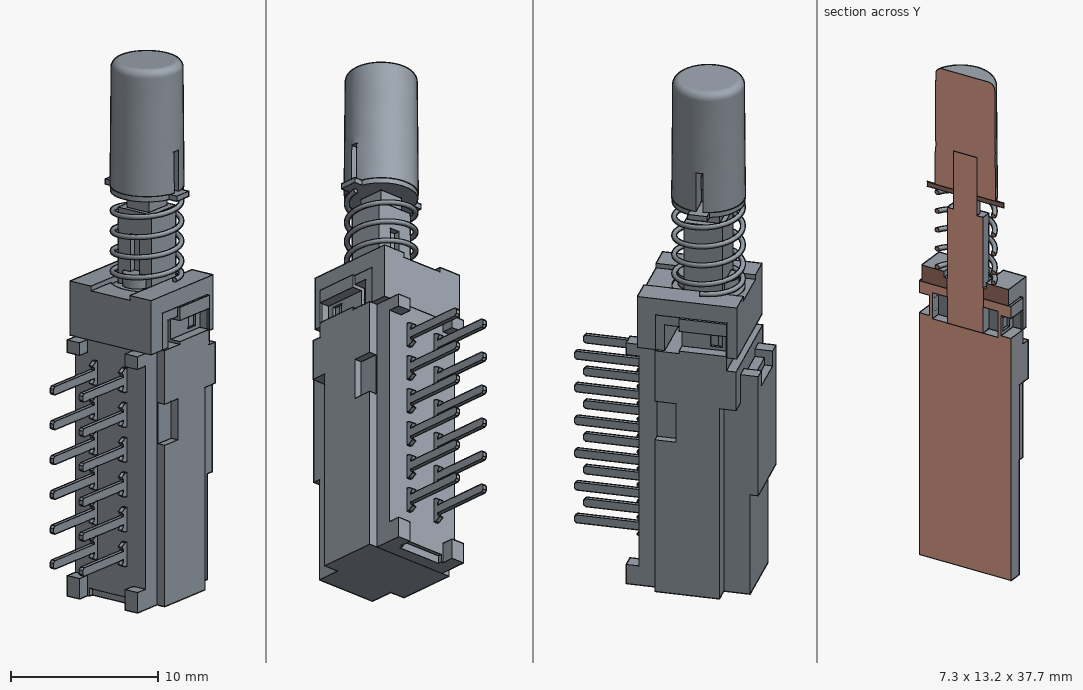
import cadquery as cq
import math


frame_bottom = 18.35
window_top = 21.0
frame_top = 22.25
channel_floor = 21.9
washer_bottom = 28.35
cap_bottom = 28.73
overall_height = 37.7

base_back = -2.83
base_front = -4.1
window_back = 2.2
shoulder_back = 2.85

housing_width = 7.3
side_wall_back = 1.7
shoulder_bottom = 14.5
shoulder_top = 17.45
cover_width = 4.9
cover_back = 3.55
cover_pad_back = 4.1
cover_pad_bottom = 7.58
cover_top = 16.65
cover_notch_width = 3.0
cover_notch_height = 0.55
pad_notch_height = 1.13
grip_notch_bottom = 11.57
grip_notch_length = 1.47
grip_notch_depth = 0.55
cheek_front = -1.13
cheek_pocket_bottom = 18.55
cheek_pocket_top = 20.05
cheek_pocket_depth = 0.8
cheek_pocket_back = 2.15
latch_hole_y = 1.3
latch_hole_z = 19.3
latch_hole_width = 0.83
latch_hole_height = 1.0
latch_hole_depth = 0.2
cross_slot_front = -2.2
cross_slot_top = 20.32
cavity_width = 5.2

base_width = 6.0
foot_front = -5.0
foot_width = 1.05
upper_foot_height = 0.9
lower_foot_height = 1.47
base_notch_width = 3.55
base_notch_height = 0.55
base_notch_depth = 0.3
terminals_per_row = 6
first_terminal_z = 3.65
last_terminal_z = 16.15
row_spacing = 2.5
terminal_thickness = 0.3
terminal_half_height = 0.3
terminal_tip = -9.05
terminal_tip_chamfer = 0.15
root_half_height = 0.85
root_shoulder_y = -4.3
root_barb_y = -4.67
root_barb_half_height = 0.65
root_valley_y = -4.45
root_valley_half_height = 0.4

frame_width = 6.95
channel_width = 3.3
seat_radius = 2.5
seat_depth = 0.1

plunger_width = 2.85
plunger_depth = 2.7
plunger_shoulder = 27.22
neck_width = 1.9
neck_depth = 2.05
neck_top = 31.65
barb_bottom = 29.75
barb_top = 30.73
barb_reach = 0.23
plunger_slot_width = 0.8
plunger_slot_top = 25.52
plunger_slot_depth = 0.45
boss_radius = 0.98
boss_reach = 2.1
boss_top = 22.8

wire_radius = 0.17
coil_radius = 2.35
coil_turns = 4

washer_radius = 2.5
ear_span = 6.1
ear_width = 1.35

cap_bottom_radius = 2.53
cap_top_radius = 2.45
cap_edge_fillet = 0.53
cap_slit_width = 0.5

sides = (-1, 1)


def block(x_range, y_range, z_range):
    """Box between the given limits on each axis."""
    (x0, x1), (y0, y1), (z0, z1) = x_range, y_range, z_range
    return cq.Workplane("XY").box(x1 - x0, y1 - y0, z1 - z0, centered=False).translate((x0, y0, z0))


def centred_block(width, y_range, z_range):
    """Box centred on X = 0."""
    return block((-width / 2, width / 2), y_range, z_range)


def side_block(side, inner, outer, y_range, z_range):
    """Box on the -X or +X side, between two distances from the YZ plane."""
    return block(sorted((side * inner, side * outer)), y_range, z_range)


def plunger_body(z_range):
    """Rectangular plunger section, also used as the cutter for its guide holes."""
    return centred_block(plunger_width, (-plunger_depth / 2, plunger_depth / 2), z_range)


def make_housing():
    half_width = housing_width / 2
    half_frame = frame_width / 2

    body = (
        cq.Workplane("YZ")
        .moveTo(base_back, 0)
        .lineTo(side_wall_back, 0)
        .lineTo(side_wall_back, shoulder_bottom)
        .lineTo(shoulder_back, shoulder_bottom)
        .lineTo(shoulder_back, shoulder_top)
        .lineTo(window_back, shoulder_top)
        .lineTo(window_back, frame_bottom)
        .lineTo(base_back, frame_bottom)
        .close()
        .extrude(half_width, both=True)
    )

    body = body.union(centred_block(cover_width, (side_wall_back, cover_back), (0, cover_top)))
    body = body.union(
        centred_block(cover_width, (side_wall_back, cover_pad_back), (cover_pad_bottom, cover_top))
    )
    for notch_front, notch_height in ((shoulder_back, cover_notch_height), (cover_back, pad_notch_height)):
        notch_levels = (cover_top - notch_height, cover_top)
        body = body.cut(centred_block(cover_notch_width, (notch_front, cover_pad_back), notch_levels))

    head_levels = (frame_bottom, window_top)
    body = body.union(centred_block(frame_width, (base_back, window_back), head_levels))
    body = body.union(centred_block(housing_width, (cheek_front, window_back), head_levels))
    body = body.cut(plunger_body(head_levels))

    slot_levels = (frame_bottom, cross_slot_top)
    body = body.cut(centred_block(frame_width, (cross_slot_front, cheek_front), slot_levels))
    body = body.cut(centred_block(cavity_width, (cross_slot_front, plunger_depth / 2), slot_levels))

    for side in sides:
        pocket_floor = half_width - cheek_pocket_depth
        pocket = side_block(
            side, pocket_floor, half_width,
            (cheek_front, cheek_pocket_back), (cheek_pocket_bottom, cheek_pocket_top),
        )
        latch_hole = side_block(
            side, pocket_floor - latch_hole_depth, half_frame,
            (latch_hole_y - latch_hole_width / 2, latch_hole_y + latch_hole_width / 2),
            (latch_hole_z - latch_hole_height / 2, latch_hole_z + latch_hole_height / 2),
        )
        grip_notch = side_block(
            side, half_width - grip_notch_depth, half_width,
            (base_back, base_back + grip_notch_length), (grip_notch_bottom, shoulder_bottom),
        )
        body = body.cut(pocket).cut(latch_hole).cut(grip_notch)
    return body


def make_terminal(x, z):
    """Flat solder terminal with a barbed root, pointing along -Y."""
    upper_half = [
        (base_front, root_half_height),
        (root_shoulder_y, root_half_height),
        (root_barb_y, root_barb_half_height),
        (root_valley_y, root_valley_half_height),
        (root_valley_y, terminal_half_height),
        (terminal_tip + terminal_tip_chamfer, terminal_half_height),
        (terminal_tip, terminal_half_height - terminal_tip_chamfer),
    ]
    lower_half = [(y, -height) for y, height in reversed(upper_half)]
    outline = cq.Workplane("YZ").polyline(upper_half + lower_half).close()
    return outline.extrude(terminal_thickness / 2, both=True).translate((x, 0, z))


def make_base():
    """Terminal plate with its four feet and two rows of terminals, moulded as one."""
    half_width = base_width / 2
    body = centred_block(base_width, (base_front, base_back), (0, frame_bottom))
    body = body.cut(
        centred_block(
            base_notch_width, (base_front, base_front + base_notch_depth), (0, base_notch_height)
        )
    )
    for side in sides:
        for foot_levels in ((0, lower_foot_height), (frame_bottom - upper_foot_height, frame_bottom)):
            body = body.union(
                side_block(side, half_width - foot_width, half_width, (foot_front, base_front), foot_levels)
            )
    pitch = (last_terminal_z - first_terminal_z) / (terminals_per_row - 1)
    for side in sides:
        for index in range(terminals_per_row):
            body = body.union(make_terminal(side * row_spacing / 2, first_terminal_z + index * pitch))
    return body


def make_frame():
    body = centred_block(frame_width, (base_front, shoulder_back), (frame_bottom, frame_top))
    body = body.cut(centred_block(frame_width, (base_back, window_back), (frame_bottom, window_top)))
    channel = centred_block(channel_width, (base_front, shoulder_back), (channel_floor, frame_top))

    seat_bottom = channel_floor - seat_depth
    seat = cq.Workplane("XY").workplane(offset=seat_bottom).circle(seat_radius).extrude(seat_depth)
    seat = seat.intersect(
        centred_block(channel_width, (base_front, shoulder_back), (seat_bottom, channel_floor))
    )
    return body.cut(channel).cut(seat).cut(plunger_body((window_top, frame_top)))


def make_plunger():
    body = plunger_body((frame_bottom, plunger_shoulder))

    body = body.union(
        centred_block(neck_width, (-neck_depth / 2, neck_depth / 2), (plunger_shoulder, neck_top))
    )
    body = body.union(
        centred_block(
            neck_width + 2 * barb_reach,
            (-cap_slit_width / 2, cap_slit_width / 2),
            (barb_bottom, barb_top),
        )
    )

    front = -plunger_depth / 2
    body = body.cut(
        centred_block(plunger_slot_width, (front, front + plunger_slot_depth), (boss_top, plunger_slot_top))
    )
    for side in sides:
        boss_centre = side * (boss_reach - boss_radius)
        boss = cq.Workplane("XY").workplane(offset=channel_floor).center(0, boss_centre)
        body = body.union(boss.circle(boss_radius).extrude(boss_top - channel_floor))
    return body


def wire_section():
    """Round section of the spring wire where the helix starts."""
    return cq.Workplane("XZ").center(coil_radius, 0).circle(wire_radius)


def make_spring():
    """Round-wire coil: a flat half turn on the frame, then a rising helix up to the washer."""
    bottom = frame_top + wire_radius
    rise = washer_bottom - wire_radius - bottom
    helix = cq.Wire.makeHelix(rise / coil_turns, rise, coil_radius)
    rising_turns = wire_section().sweep(cq.Workplane(helix), isFrenet=True)
    flat_turn = wire_section().revolve(180, (-coil_radius, 0), (-coil_radius, -1))
    coil = rising_turns.union(flat_turn)
    return coil.rotate((0, 0, 0), (0, 0, 1), 180).translate((0, 0, bottom))


def make_washer():
    """Spring retainer with an ear on each side, threaded over the plunger neck."""
    thickness = cap_bottom - washer_bottom
    levels = (washer_bottom, cap_bottom)
    body = cq.Workplane("XY").workplane(offset=washer_bottom).circle(washer_radius).extrude(thickness)
    body = body.union(centred_block(ear_span, (-ear_width / 2, ear_width / 2), levels))
    return body.cut(centred_block(neck_width, (-neck_depth / 2, neck_depth / 2), levels))


def make_cap():
    height = overall_height - cap_bottom
    taper = math.degrees(math.atan((cap_bottom_radius - cap_top_radius) / height))
    body = cq.Workplane("XY").workplane(offset=cap_bottom).circle(cap_bottom_radius)
    body = body.extrude(height, taper=taper).faces(">Z").edges().fillet(cap_edge_fillet)

    socket_levels = (cap_bottom, neck_top)
    body = body.cut(centred_block(neck_width, (-neck_depth / 2, neck_depth / 2), socket_levels))
    slit = centred_block(
        2 * cap_bottom_radius, (-cap_slit_width / 2, cap_slit_width / 2), socket_levels
    )
    return body.cut(slit)


housing = make_housing()
base = make_base()
frame = make_frame()
plunger = make_plunger()
spring = make_spring()
washer = make_washer()
cap = make_cap()

result = cq.Compound.makeCompound(
    [
        housing.val(),
        base.val(),
        frame.val(),
        plunger.val(),
        spring.val(),
        washer.val(),
        cap.val(),
    ]
)